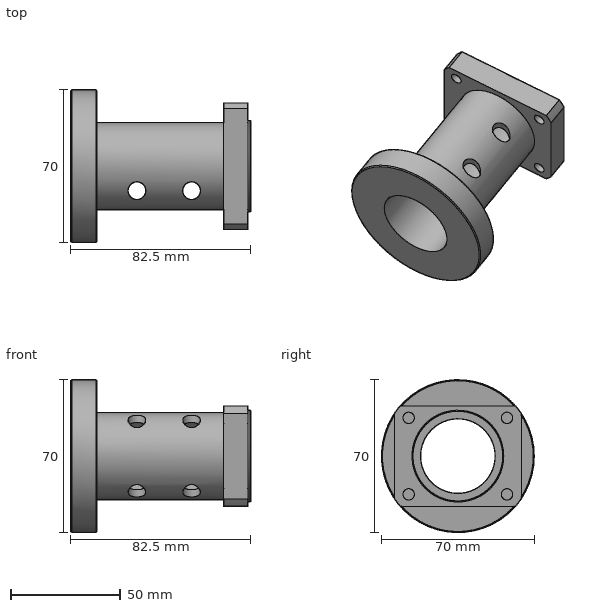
import cadquery as cq

total_length = 82.5
flange_thickness = 12.0
plate_start = 70.0
plate_end = 81.0

flange_diameter = 70.0
tube_diameter = 40.0
bore_diameter = 34.0
spigot_diameter = 42.0
edge_chamfer = 0.5

plate_width = 58.0
plate_height = 46.0
bolt_spacing_y = 45.0
bolt_spacing_z = 35.0
bolt_hole_diameter = 5.2

cross_hole_diameter = 8.0
first_cross_hole_x = 30.3
cross_hole_spacing = 25.0
cross_hole_y = -11.2


def section_plane(x):
    """Plane facing +X, with its local axes along Y and Z."""
    return cq.Workplane("YZ", origin=(x, 0, 0))


def disc(diameter, x_start, x_end):
    return section_plane(x_start).circle(diameter / 2).extrude(x_end - x_start)


def make_flange():
    return disc(flange_diameter, 0, flange_thickness).edges().chamfer(edge_chamfer)


def make_plate():
    """Rectangular plate whose corners are rounded to the flange diameter."""
    thickness = plate_end - plate_start
    block = section_plane(plate_start).rect(plate_width, plate_height).extrude(thickness)
    plate = block.intersect(disc(flange_diameter, plate_start, plate_end))
    bolt_holes = (
        section_plane(plate_start)
        .rect(bolt_spacing_y, bolt_spacing_z, forConstruction=True)
        .vertices()
        .circle(bolt_hole_diameter / 2)
        .extrude(thickness)
    )
    return plate.cut(bolt_holes)


def make_spigot():
    spigot = disc(spigot_diameter, plate_end, total_length)
    return spigot.faces(">X").edges().chamfer(edge_chamfer)


def make_cross_holes():
    centres = [
        (first_cross_hole_x, cross_hole_y),
        (first_cross_hole_x + cross_hole_spacing, cross_hole_y),
    ]
    return (
        cq.Workplane("XY")
        .pushPoints(centres)
        .circle(cross_hole_diameter / 2)
        .extrude(tube_diameter / 2, both=True)
    )


tube = disc(tube_diameter, 0, total_length)
body = tube.union(make_flange()).union(make_plate()).union(make_spigot())
bore = disc(bore_diameter, 0, total_length)
result = body.cut(bore).cut(make_cross_holes())